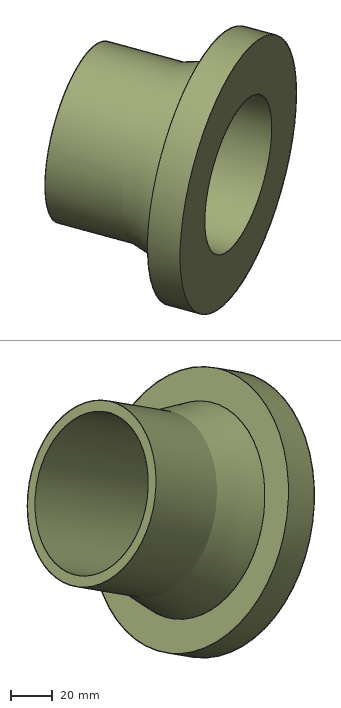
import cadquery as cq

total_length = 81.0
flange_thickness = 17.0
pipe_length = 40.0
neck_end = total_length - flange_thickness

bore_diameter = 79.2
pipe_diameter = 90.0
neck_base_diameter = 105.0
flange_diameter = 138.0

bore_radius = bore_diameter / 2
pipe_radius = pipe_diameter / 2
neck_base_radius = neck_base_diameter / 2
flange_radius = flange_diameter / 2

half_section = (
    cq.Workplane("XY")
    .moveTo(0, bore_radius)
    .lineTo(0, pipe_radius)
    .lineTo(pipe_length, pipe_radius)
    .lineTo(neck_end, neck_base_radius)
    .lineTo(neck_end, flange_radius)
    .lineTo(total_length, flange_radius)
    .lineTo(total_length, bore_radius)
    .close()
)

result = half_section.revolve(360, (0, 0, 0), (1, 0, 0))